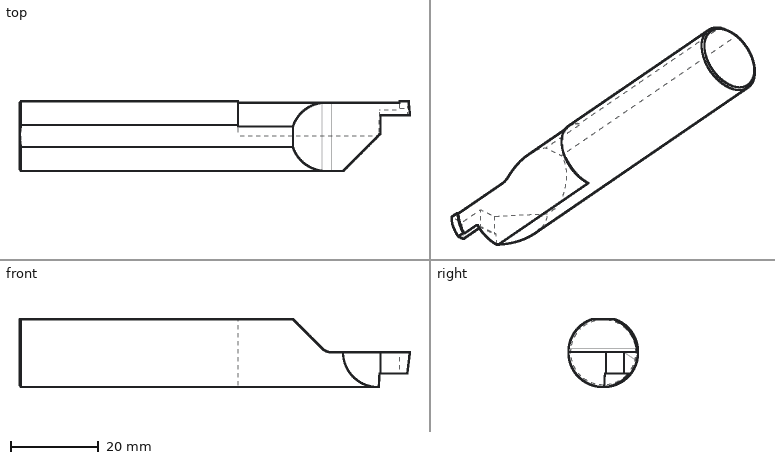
import cadquery as cq
import math

length = 88.9
radius = 7.96
flat_height = 7.6
rear_chamfer_length = 0.4
rear_chamfer_depth = 0.5

face_height = 0.0
ramp_start = 62.2
ramp_fillet = 3.0

shoulder_x = 82.2
shoulder_y = 0.6
head_end_taper = 3.0

finger_inner_y = 4.7
finger_depth = 4.9
tip_skew = 0.3
tip_clearance = 7.0

relief_start = 49.8
relief_end = 86.5
relief_offset = 0.31

margin = 4.45


def make_shank():
    return (
        cq.Workplane("XY")
        .moveTo(0, 0)
        .lineTo(0, radius - rear_chamfer_depth)
        .lineTo(rear_chamfer_length, radius)
        .lineTo(length, radius)
        .lineTo(length, 0)
        .close()
        .revolve(360, (0, 0, 0), (1, 0, 0))
    )


def extrude_across(profile):
    """Extrude an XZ profile through the full width of the part."""
    return profile.extrude(radius + margin, both=True)


def make_top_cut():
    """Space above the flat, the ramp and the cutting face."""
    ramp_foot = ramp_start + flat_height - face_height
    tangent_length = ramp_fillet * math.tan(math.radians(45 / 2))
    tangent_step = tangent_length * math.sqrt(0.5)
    arc_half_run = ramp_fillet * math.sin(math.radians(45 / 2))
    arc_end_x = ramp_foot + tangent_length
    arc_middle = (
        arc_end_x - arc_half_run,
        face_height + ramp_fillet * (1 - math.cos(math.radians(45 / 2))),
    )
    top = radius + margin
    return extrude_across(
        cq.Workplane("XZ")
        .moveTo(-margin, flat_height)
        .lineTo(ramp_start, flat_height)
        .lineTo(ramp_foot - tangent_step, face_height + tangent_step)
        .threePointArc(arc_middle, (arc_end_x, face_height))
        .lineTo(length + margin, face_height)
        .lineTo(length + margin, top)
        .lineTo(-margin, top)
        .close()
    )


def make_relief():
    """Sliver between the shank and the same circle shifted toward -Y."""
    relief_length = relief_end - relief_start
    start_plane = cq.Workplane("YZ", origin=(relief_start, 0, 0))
    half_space = start_plane.center(radius, 0).rect(2 * radius, 4 * radius).extrude(relief_length)
    shifted_circle = start_plane.center(-relief_offset, 0).circle(radius).extrude(relief_length)
    return half_space.cut(shifted_circle)


def make_plan_outline():
    """Upright body with the head bevel, shoulder, finger and skewed tip."""
    edge_y = radius + margin
    bevel_end_x = shoulder_x - (shoulder_y + edge_y)
    tip_skew_rate = tip_skew / (radius - finger_inner_y)
    return (
        cq.Workplane("XY", origin=(0, 0, -radius - margin))
        .moveTo(-margin, -edge_y)
        .lineTo(bevel_end_x, -edge_y)
        .lineTo(shoulder_x, shoulder_y)
        .lineTo(shoulder_x, finger_inner_y)
        .lineTo(length, finger_inner_y)
        .lineTo(length - tip_skew_rate * (edge_y - finger_inner_y), edge_y)
        .lineTo(-margin, edge_y)
        .close()
        .extrude(2 * (radius + margin))
    )


def make_front_outline():
    """Side profile with undercut end faces on the head and the tip."""
    bottom = radius + margin
    head_undercut = math.tan(math.radians(head_end_taper))
    tip_undercut = math.tan(math.radians(tip_clearance))
    return extrude_across(
        cq.Workplane("XZ")
        .moveTo(-margin, -bottom)
        .lineTo(shoulder_x - bottom * head_undercut, -bottom)
        .lineTo(shoulder_x - finger_depth * head_undercut, -finger_depth)
        .lineTo(length - finger_depth * tip_undercut, -finger_depth)
        .lineTo(length, face_height)
        .lineTo(length, bottom)
        .lineTo(-margin, bottom)
        .close()
    )


result = (
    make_shank()
    .cut(make_top_cut())
    .cut(make_relief())
    .intersect(make_plan_outline())
    .intersect(make_front_outline())
)